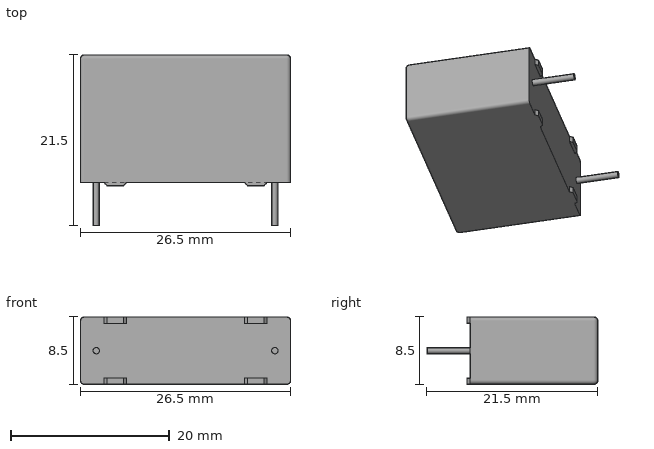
import cadquery as cq

case_width = 26.5
case_height = 8.5
overall_length = 21.5
lead_length = 5.4
case_length = overall_length - lead_length
edge_radius = 0.5

foot_height = 0.4
foot_thickness = 0.8
foot_base_width = 2.85
foot_tip_width = foot_base_width - 2 * foot_height
foot_spacing = 17.7

lead_diameter = 0.8
lead_pitch = 22.5

lead_face = cq.Workplane("XZ")


def make_foot(center_x, bottom_z):
    """Trapezoidal standoff foot reaching from the lead face towards -Y."""
    half_base = foot_base_width / 2
    half_tip = foot_tip_width / 2
    return (
        cq.Workplane("XY", origin=(center_x, 0, bottom_z))
        .moveTo(-half_base, 0)
        .lineTo(-half_tip, -foot_height)
        .lineTo(half_tip, -foot_height)
        .lineTo(half_base, 0)
        .close()
        .extrude(foot_thickness)
    )


def make_case():
    """Box rounded on every edge except those of the lead face, with four feet."""
    case = lead_face.rect(case_width, case_height).extrude(-case_length)
    case = case.edges("|Y or >Y").fillet(edge_radius)
    for center_x in (-foot_spacing / 2, foot_spacing / 2):
        for bottom_z in (-case_height / 2, case_height / 2 - foot_thickness):
            case = case.union(make_foot(center_x, bottom_z))
    return case


def make_lead(center_x):
    """Round wire lead standing on the lead face."""
    return lead_face.center(center_x, 0).circle(lead_diameter / 2).extrude(lead_length)


case = make_case()
leads = [make_lead(center_x) for center_x in (-lead_pitch / 2, lead_pitch / 2)]

result = cq.Compound.makeCompound([case.val(), *[lead.val() for lead in leads]])